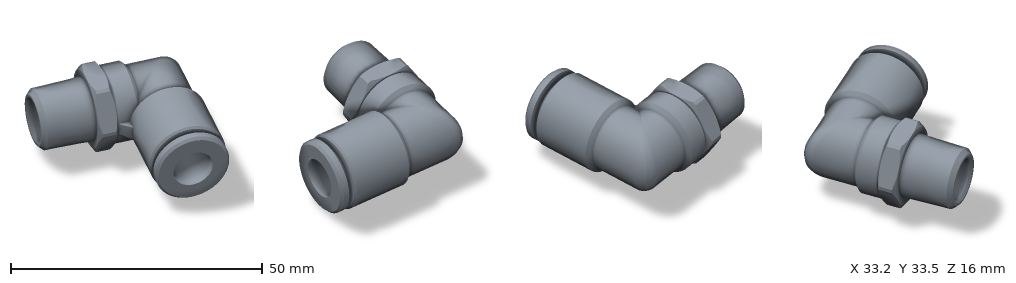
import cadquery as cq
import math


elbow_radius = 7.0
corner_round = 3.0
corner_gores = 5

shoulder_radius = 8.0
shoulder_chamfer = shoulder_radius - elbow_radius
collar_start = 4.9
collar_end = 10.05
socket_start = elbow_radius
socket_end = 21.0
socket_edge_chamfer = 0.4

ring_neck_radius = 5.8
ring_groove_radius = 5.63
ring_groove_start = 22.08
ring_radius = 7.75
ring_start = 22.3
ring_end = 24.15
ring_chamfer = 0.55

hex_start = 10.42
hex_end = 14.4
hex_flat_radius = shoulder_radius
hex_corner_radius = 9.0
hex_chamfer_angle = 30
collar_neck_radius = 7.55

stud_end = 33.5 - shoulder_radius
stud_root_radius = 6.6
stud_tip_radius = 6.33
stud_chamfer = 1.0

bore_radius = 4.12
counterbore_radius = 4.35
mouth_radius = 4.82
mouth_depth = 0.47

gusset_tip = 10.1
gusset_half_width = 1.55
gusset_taper = 7


def stud_revolve(profile):
    """Solid of revolution about Y; points are (radius, distance along -Y)."""
    points = [(radius, -distance) for radius, distance in profile]
    return cq.Workplane("XY").polyline(points).close().revolve(360, (0, 0), (0, 1))


def socket_revolve(profile):
    """Solid of revolution about X; points are (distance along +X, radius)."""
    return cq.Workplane("XY").polyline(profile).close().revolve(360, (0, 0), (1, 0))


def mitre_corner(radius):
    """Outer quarter of a mitred joint of two equal round bars."""
    along_x = cq.Workplane("YZ").circle(radius).extrude(2 * radius, both=True)
    along_y = cq.Workplane("XZ").circle(radius).extrude(2 * radius, both=True)
    quarter = cq.Workplane("XY").box(2 * radius, 2 * radius, 4 * radius)
    quarter = quarter.translate((-radius, radius, 0))
    return along_x.intersect(along_y).intersect(quarter)


def rounded_corner():
    """Mitred corner rounded by elliptical gores that fade out at top and bottom."""
    corner = mitre_corner(elbow_radius)
    round_centre = elbow_radius - corner_round
    for index in range(1, corner_gores + 1):
        angle = 90 * index / (corner_gores + 1)
        turn = math.radians(angle)
        reach = round_centre * (math.cos(turn) + math.sin(turn)) + corner_round
        gore = cq.Workplane("XZ").ellipse(reach, elbow_radius).extrude(3 * elbow_radius, both=True)
        corner = corner.intersect(gore.rotate((0, 0, 0), (0, 0, 1), -angle))
    return corner


def stud_side():
    """Elbow arm, collar, neck and tapered stud."""
    return stud_revolve([
        (0, 0),
        (elbow_radius, 0),
        (elbow_radius, collar_start),
        (shoulder_radius, collar_start + shoulder_chamfer),
        (shoulder_radius, collar_end),
        (collar_neck_radius, hex_start),
        (stud_root_radius, hex_start),
        (stud_root_radius, hex_end),
        (stud_tip_radius, stud_end - stud_chamfer),
        (stud_tip_radius - stud_chamfer, stud_end),
        (0, stud_end),
    ])


def socket_side():
    """Elbow arm, tube socket and release ring."""
    return socket_revolve([
        (0, 0),
        (0, elbow_radius),
        (socket_start, elbow_radius),
        (socket_start + shoulder_chamfer, shoulder_radius),
        (socket_end - socket_edge_chamfer, shoulder_radius),
        (socket_end, shoulder_radius - socket_edge_chamfer),
        (socket_end, ring_neck_radius),
        (ring_groove_start, ring_neck_radius),
        (ring_groove_start, ring_groove_radius),
        (ring_start, ring_groove_radius),
        (ring_start, ring_radius),
        (ring_end - ring_chamfer, ring_radius),
        (ring_end, ring_radius - ring_chamfer),
        (ring_end, 0),
    ])


def hexagon():
    """Hexagon with flats facing +Z and -Z, flattened corners and chamfered ends."""
    def prism(across_flats):
        across_corners = across_flats / math.cos(math.pi / 6)
        profile = cq.Workplane("XZ", origin=(0, -hex_start, 0)).polygon(6, across_corners)
        return profile.extrude(hex_end - hex_start)

    corner_cutter = prism(2 * hex_corner_radius).rotate((0, 0, 0), (0, 1, 0), 30)
    outer_radius = hex_flat_radius / math.cos(math.pi / 6)
    drop = (outer_radius - hex_flat_radius) * math.tan(math.radians(hex_chamfer_angle))
    chamfer_envelope = stud_revolve([
        (0, hex_start),
        (hex_flat_radius, hex_start),
        (outer_radius, hex_start + drop),
        (outer_radius, hex_end - drop),
        (hex_flat_radius, hex_end),
        (0, hex_end),
    ])
    return prism(2 * hex_flat_radius).intersect(corner_cutter).intersect(chamfer_envelope)


def gusset():
    """45 degree web in the inner corner, narrowing towards the stud axis."""
    leg = gusset_tip - shoulder_radius
    inner = elbow_radius
    side = (
        cq.Workplane("XY", origin=(0, 0, -gusset_half_width))
        .polyline([
            (inner, -inner),
            (gusset_tip, -inner),
            (gusset_tip, -shoulder_radius),
            (shoulder_radius, -shoulder_radius - leg),
            (inner, -shoulder_radius - leg),
        ])
        .close()
        .extrude(2 * gusset_half_width)
    )
    inner_half_width = gusset_half_width - (gusset_tip - inner) * math.tan(math.radians(gusset_taper))
    plan = (
        cq.Workplane("XZ")
        .polyline([
            (inner, -inner_half_width),
            (gusset_tip, -gusset_half_width),
            (gusset_tip, gusset_half_width),
            (inner, inner_half_width),
        ])
        .close()
        .extrude(2 * gusset_tip)
    )
    return side.intersect(plan)


def passage():
    """Mitred bore through both arms with a chamfered counterbore at the stud mouth."""
    stud_bore = stud_revolve([
        (0, 0),
        (bore_radius, 0),
        (bore_radius, hex_start),
        (counterbore_radius, hex_start),
        (counterbore_radius, stud_end - mouth_depth),
        (mouth_radius, stud_end),
        (0, stud_end),
    ])
    socket_bore = cq.Workplane("YZ").circle(bore_radius).extrude(ring_end)
    return stud_bore.union(socket_bore).union(mitre_corner(bore_radius))


body = stud_side().union(socket_side()).union(rounded_corner())
body = body.union(hexagon()).union(gusset())
result = body.cut(passage())